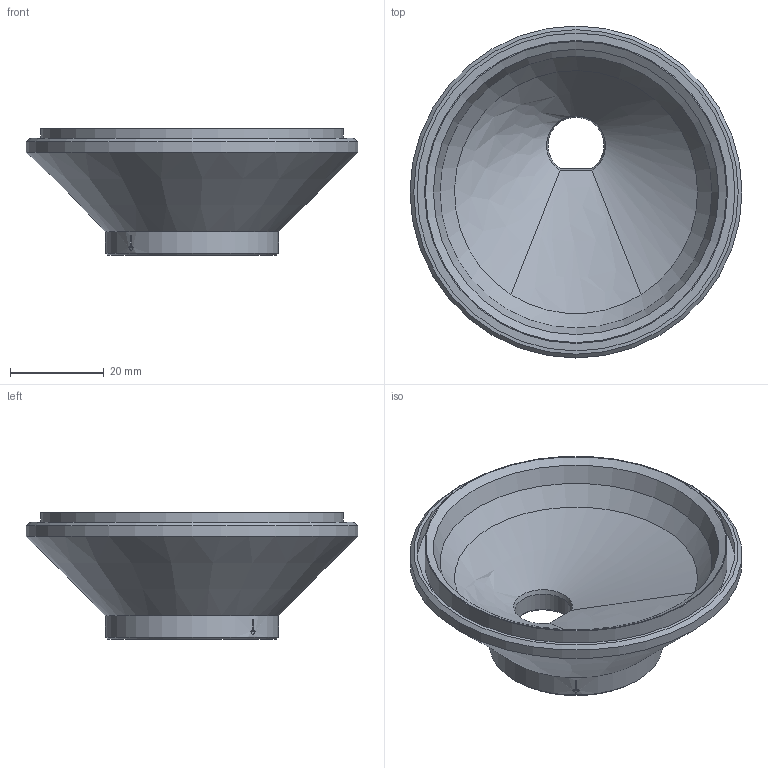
import cadquery as cq
import math

base_radius = 37 / 2
base_chamfer = 0.4
base_height = 5
flange_radius = 71 / 2
flange_bottom = base_height + flange_radius - base_radius
flange_top = 25
flange_chamfer = 0.8
neck_radius = 64.8 / 2
neck_top = 27

groove_radius = 68 / 2
groove_depth = 2.8

mouth_radius = 32.2
lip_radius = 30.5
lip_height = 26
wall_radius = 29.1
wall_height = 22.2
funnel_top_radius = 26
funnel_top_height = 18.2

outlet_offset = 10
outlet_radius = 6
outlet_flat_y = 5
outlet_taper = 0.3
outlet_taper_height = 1
outlet_top = 5.5
outlet_chamfer = 0.6
funnel_corner_angle = math.radians(32.4)

arrow_angle = 225
arrow_top = 4.2
arrow_tip = 0.9
arrow_width = 0.4
arrow_head = 0.7
arrow_depth = 0.2


def outer_body():
    return (
        cq.Workplane("XZ")
        .moveTo(0, 0)
        .lineTo(base_radius - base_chamfer, 0)
        .lineTo(base_radius, base_chamfer)
        .lineTo(base_radius, base_height)
        .lineTo(flange_radius, flange_bottom)
        .lineTo(flange_radius, flange_top - flange_chamfer)
        .lineTo(flange_radius - flange_chamfer, flange_top)
        .lineTo(groove_radius, flange_top)
        .lineTo(groove_radius, flange_top - groove_depth)
        .lineTo(neck_radius, flange_top - groove_depth)
        .lineTo(neck_radius, neck_top)
        .lineTo(0, neck_top)
        .close()
        .revolve(360, (0, 0, 0), (0, 1, 0))
    )


def mouth():
    return (
        cq.Workplane("XZ")
        .moveTo(0, funnel_top_height)
        .lineTo(funnel_top_radius, funnel_top_height)
        .lineTo(wall_radius, wall_height)
        .lineTo(lip_radius, lip_height)
        .lineTo(mouth_radius, neck_top)
        .lineTo(0, neck_top)
        .close()
        .revolve(360, (0, 0, 0), (0, 1, 0))
    )


def outlet_wire(growth, height):
    """D-shaped outlet outline, offset outwards by growth."""
    radius = outlet_radius + growth
    flat_y = outlet_flat_y - growth
    corner_x = math.sqrt(radius**2 - (outlet_offset - flat_y) ** 2)
    right = cq.Vector(corner_x, flat_y, height)
    left = cq.Vector(-corner_x, flat_y, height)
    back = cq.Vector(0, outlet_offset + radius, height)
    round_side = cq.Edge.makeThreePointArc(right, back, left)
    flat_side = cq.Edge.makeLine(left, right)
    return cq.Wire.assembleEdges([round_side, flat_side])


def funnel_top_wire():
    """Full circle, split where the ruled lines from the flat's corners arrive."""
    corner_x = funnel_top_radius * math.sin(funnel_corner_angle)
    corner_y = -funnel_top_radius * math.cos(funnel_corner_angle)
    right = cq.Vector(corner_x, corner_y, funnel_top_height)
    left = cq.Vector(-corner_x, corner_y, funnel_top_height)
    back = cq.Vector(0, funnel_top_radius, funnel_top_height)
    front = cq.Vector(0, -funnel_top_radius, funnel_top_height)
    back_arc = cq.Edge.makeThreePointArc(right, back, left)
    front_arc = cq.Edge.makeThreePointArc(left, front, right)
    return cq.Wire.assembleEdges([back_arc, front_arc])


def funnel_and_outlet():
    sections = [
        outlet_wire(outlet_chamfer, 0),
        outlet_wire(0, outlet_chamfer),
        outlet_wire(0, outlet_top - outlet_taper_height),
        outlet_wire(outlet_taper, outlet_top),
        funnel_top_wire(),
    ]
    return cq.Workplane(cq.Solid.makeLoft(sections, True))


def arrow():
    half = arrow_width / 2
    slant = half * math.sqrt(2)
    barb = arrow_tip + arrow_head
    shape = (
        cq.Workplane("YZ", origin=(base_radius - arrow_depth, 0, 0))
        .moveTo(0, arrow_tip)
        .lineTo(arrow_head, barb)
        .lineTo(arrow_head - slant, barb + slant)
        .lineTo(half, arrow_tip + 2 * slant + half)
        .lineTo(half, arrow_top)
        .lineTo(-half, arrow_top)
        .lineTo(-half, arrow_tip + 2 * slant + half)
        .lineTo(slant - arrow_head, barb + slant)
        .lineTo(-arrow_head, barb)
        .close()
        .extrude(2 * arrow_depth)
    )
    return shape.rotate((0, 0, 0), (0, 0, 1), arrow_angle)


result = outer_body().cut(mouth()).cut(funnel_and_outlet()).cut(arrow())